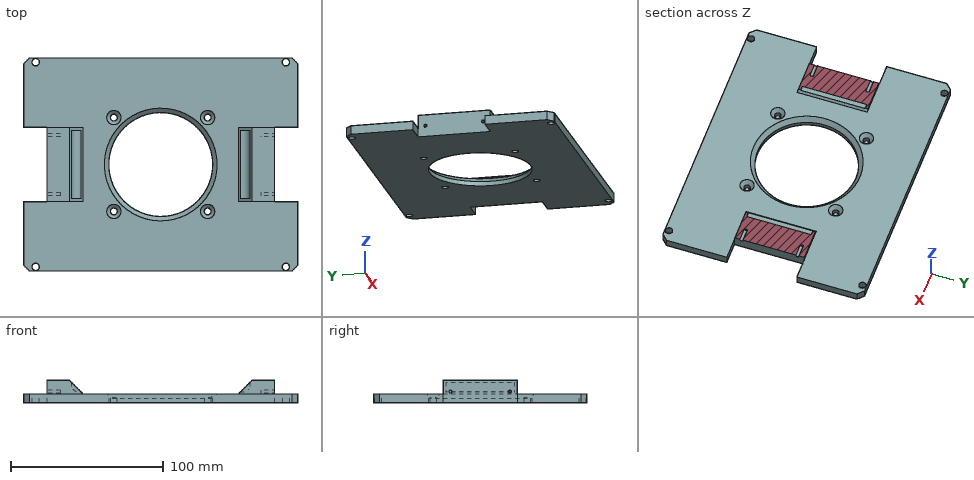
import cadquery as cq
import math

plate_length = 180.0
plate_width = 140.0
plate_thickness = 6.0
corner_chamfer = 4.0
total_height = 15.0

block_width = 48.6
block_outer_x = 74.7
block_top_length = 14.8
block_height = total_height - plate_thickness
block_top_x = block_outer_x - block_top_length
block_foot_x = block_top_x - block_height
notch_depth = plate_length / 2 - block_outer_x

pocket_margin = 2.0
pocket_length = block_width - 2 * pocket_margin
pocket_radius = 5.0
pocket_chord = block_height * math.sqrt(2) - 2 * pocket_margin
pocket_axis_height = math.sqrt(pocket_radius**2 - (pocket_chord / 2) ** 2)
pocket_x = (block_top_x + block_foot_x) / 2 - pocket_axis_height / math.sqrt(2)
pocket_z = plate_thickness + block_height / 2 + pocket_axis_height / math.sqrt(2)
wire_hole_diameter = 2.0
wire_hole_y = 19.5
wire_hole_z = 7.4
wire_hole_depth = 9.0

opening_diameter = 68.0
opening_chamfer = plate_thickness / 2

screw_hole_diameter = 4.3
countersink_diameter = 9.4
countersink_angle = 90
screw_offset = 30.8

corner_hole_diameter = 4.7
corner_hole_x = 82.0
corner_hole_y = 67.1


def make_plate():
    plate = cq.Workplane("XY").box(
        plate_length, plate_width, plate_thickness, centered=(True, True, False)
    )
    plate = plate.edges("|Z").chamfer(corner_chamfer)
    notches = (
        cq.Workplane("XY")
        .pushPoints([(-plate_length / 2, 0), (plate_length / 2, 0)])
        .rect(2 * notch_depth, block_width)
        .extrude(plate_thickness)
    )
    return plate.cut(notches)


def make_block():
    """Block at the +X end, sloping down towards the opening."""
    return (
        cq.Workplane("XZ")
        .moveTo(block_foot_x, 0)
        .lineTo(block_outer_x, 0)
        .lineTo(block_outer_x, total_height)
        .lineTo(block_top_x, total_height)
        .lineTo(block_foot_x, plate_thickness)
        .close()
        .extrude(block_width / 2, both=True)
    )


def make_block_cavities():
    """Trough-shaped pocket and wire holes of the +X block."""
    pocket = (
        cq.Workplane("XZ", origin=(pocket_x, pocket_length / 2, pocket_z))
        .circle(pocket_radius)
        .extrude(pocket_length)
    )
    wire_holes = (
        cq.Workplane("YZ", origin=(block_outer_x, 0, 0))
        .pushPoints([(-wire_hole_y, wire_hole_z), (wire_hole_y, wire_hole_z)])
        .circle(wire_hole_diameter / 2)
        .extrude(-wire_hole_depth)
    )
    return pocket.union(wire_holes).intersect(make_block())


def cut_opening(body):
    opening = cq.Workplane("XY").circle(opening_diameter / 2).extrude(plate_thickness)
    opening_bevel = (
        cq.Workplane("XY", origin=(0, 0, plate_thickness - opening_chamfer))
        .circle(opening_diameter / 2)
        .workplane(offset=opening_chamfer)
        .circle(opening_diameter / 2 + opening_chamfer)
        .loft()
    )
    return body.cut(opening).cut(opening_bevel)


def cut_screw_holes(body):
    return (
        body.copyWorkplane(cq.Workplane("XY", origin=(0, 0, plate_thickness)))
        .rect(2 * screw_offset, 2 * screw_offset, forConstruction=True)
        .vertices()
        .cskHole(screw_hole_diameter, countersink_diameter, countersink_angle)
    )


def cut_corner_holes(body):
    holes = (
        cq.Workplane("XY")
        .rect(2 * corner_hole_x, 2 * corner_hole_y, forConstruction=True)
        .vertices()
        .circle(corner_hole_diameter / 2)
        .extrude(plate_thickness)
    )
    return body.cut(holes)


result = make_plate()
for end_block, cavities in [
    (make_block(), make_block_cavities()),
    (make_block().mirror("YZ"), make_block_cavities().mirror("YZ")),
]:
    result = result.union(end_block).cut(cavities)
result = cut_opening(result)
result = cut_screw_holes(result)
result = cut_corner_holes(result)